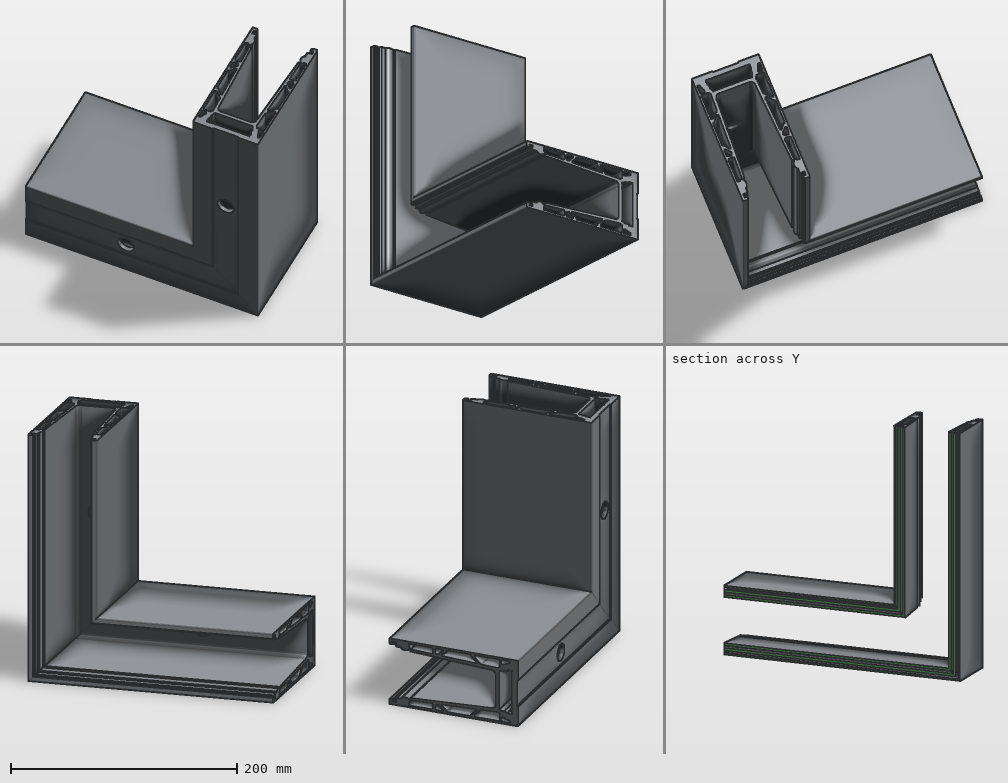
import cadquery as cq
import math

LEG_LENGTH = 227.2
PROFILE_DEPTH = 124.0
PROFILE_WIDTH = 63.6
HALF_WIDTH = PROFILE_WIDTH / 2
OPEN_END = PROFILE_DEPTH / 2
CLOSED_END = -OPEN_END
OUTER_EDGE_RADIUS = 0.7

WALL_ANGLE = math.radians(3.0)
CHANNEL_TOP = 41.8
CHANNEL_TOP_HALF_WIDTH = 22.5
CHANNEL_FLOOR = -40.5
CHANNEL_DEPTH = CHANNEL_TOP - CHANNEL_FLOOR
CHANNEL_FLOOR_HALF_WIDTH = CHANNEL_TOP_HALF_WIDTH - CHANNEL_DEPTH * math.tan(WALL_ANGLE)
FLOOR_RADIUS = 4.0

LIP_HALF_WIDTH = 26.4
LIP_CHAMFER = 1.0
LIP_HOOK = 0.7
GASKET_HALF_WIDTH = 29.0
GASKET_TOP = 59.0
GASKET_BOTTOM = 55.7
SHOULDER_HALF_WIDTH = 24.8
SHOULDER_TOP = 55.0
BEAD_TOP = 51.0
BEAD_BOTTOM = 42.7
BEAD_ROOT_HALF_WIDTH = 24.3
BEAD_TIP_HALF_WIDTH = 22.7

SKIN = 2.0
SKIN_INSIDE = HALF_WIDTH - SKIN
HOLLOW_TOP = 43.2
HOLLOW_BOTTOM = -54.0
HOLLOW_ANGLE = math.radians(2.3)
HOLLOW_TOP_HALF_WIDTH = 24.8
HOLLOW_RADIUS = 0.7
RIB_RADIUS = 1.8
RIB = 2.0
THIN_RIB = 1.0

MOUTH_HOLLOW_CORNER = 27.3
MOUTH_HOLLOW_SHOULDER = 41.0
MOUTH_HOLLOW_BOTTOM = 20.0
SMALL_HOLLOW_TOP = MOUTH_HOLLOW_BOTTOM - RIB
SMALL_HOLLOW_INSIDE = 24.5
SMALL_HOLLOW_SHOULDER = 14.8
SMALL_HOLLOW_BOTTOM = 10.5
BRACE_FOOT = 28.6
UPPER_BRACE_HEAD = 24.8
LOWER_BRACE_HEAD = 23.5
MIDDLE_HOLLOW_TOP = 11.5
MIDDLE_HOLLOW_SKIN_TOP = 6.5
MIDDLE_HOLLOW_SKIN_BOTTOM = -16.4
MIDDLE_HOLLOW_BOTTOM = -22.0
LOWER_HOLLOW_TOP = -20.2
LOWER_HOLLOW_CORNER = 27.5
LOWER_HOLLOW_SHOULDER = -26.1
LOWER_HOLLOW_BEVEL = -42.3
LOWER_HOLLOW_BOTTOM = -44.5
LOWER_HOLLOW_FOOT = 22.7
CORNER_HOLLOW_TOP = LOWER_HOLLOW_BOTTOM - THIN_RIB
CORNER_HOLLOW_HEAD = 24.8
CORNER_HOLLOW_FOOT = 28.0

CELL_TOP = -44.0
CELL_TOP_HALF_WIDTH = 18.5
CELL_SHOULDER = -48.0
CELL_HALF_WIDTH = 20.0
CELL_STEP = -52.0
CELL_FOOT_HALF_WIDTH = 21.0
CELL_BOTTOM = -56.1

FACE_GROOVE_HALF_WIDTH = 12.7
FACE_GROOVE_DEPTH = 1.0

HOLE_DIAMETER = 16.0
HOLE_FROM_CORNER = 129.5


def prism(points):
    """Extrude a closed outline of (distance from the profile centre, depth) points along the leg."""
    return cq.Workplane("XY").polyline(points).close().extrude(LEG_LENGTH)


def half_body():
    block = prism([
        (0, CLOSED_END),
        (HALF_WIDTH, CLOSED_END),
        (HALF_WIDTH, OPEN_END),
        (0, OPEN_END),
    ])
    return block.edges("|Z and >X").fillet(OUTER_EDGE_RADIUS)


def half_channel():
    bead_middle = (BEAD_TOP + BEAD_BOTTOM) / 2
    half = (
        cq.Workplane("XY")
        .moveTo(0, OPEN_END)
        .lineTo(LIP_HALF_WIDTH + LIP_CHAMFER, OPEN_END)
        .lineTo(LIP_HALF_WIDTH, OPEN_END - LIP_CHAMFER)
        .lineTo(LIP_HALF_WIDTH, GASKET_TOP - LIP_HOOK)
        .lineTo(LIP_HALF_WIDTH + LIP_CHAMFER, GASKET_TOP)
        .lineTo(GASKET_HALF_WIDTH, GASKET_TOP)
        .lineTo(GASKET_HALF_WIDTH, GASKET_BOTTOM)
        .lineTo(LIP_HALF_WIDTH + LIP_CHAMFER, GASKET_BOTTOM)
        .lineTo(LIP_HALF_WIDTH, GASKET_BOTTOM + LIP_HOOK)
        .lineTo(SHOULDER_HALF_WIDTH, SHOULDER_TOP)
        .lineTo(SHOULDER_HALF_WIDTH, BEAD_TOP)
        .lineTo(BEAD_ROOT_HALF_WIDTH, BEAD_TOP)
        .threePointArc((BEAD_TIP_HALF_WIDTH, bead_middle), (BEAD_ROOT_HALF_WIDTH, BEAD_BOTTOM))
        .lineTo(BEAD_ROOT_HALF_WIDTH, CHANNEL_TOP)
        .lineTo(CHANNEL_TOP_HALF_WIDTH, CHANNEL_TOP)
        .lineTo(CHANNEL_FLOOR_HALF_WIDTH, CHANNEL_FLOOR)
        .lineTo(0, CHANNEL_FLOOR)
        .close()
        .extrude(LEG_LENGTH)
    )
    floor_corner = cq.selectors.NearestToPointSelector(
        (CHANNEL_FLOOR_HALF_WIDTH, CHANNEL_FLOOR, LEG_LENGTH / 2)
    )
    return half.edges(floor_corner).fillet(FLOOR_RADIUS)


def on_slope(y):
    """Point on the sloping inner side of the wall hollows at depth y."""
    return (HOLLOW_TOP_HALF_WIDTH - (HOLLOW_TOP - y) * math.tan(HOLLOW_ANGLE), y)


def on_skin(y):
    """Point on the inside of the outer skin at depth y."""
    return (SKIN_INSIDE, y)


def rounded_prism(points, rib_end=None):
    """Prism with rounded corners; the end beside a cross rib gets the larger radius."""
    solid = prism(points)
    if rib_end is None:
        return solid.edges("|Z").fillet(HOLLOW_RADIUS)
    solid = solid.edges(f"|Z exc {rib_end}").fillet(HOLLOW_RADIUS)
    return solid.edges(f"|Z and {rib_end}").fillet(RIB_RADIUS)


def side_hollows():
    mouth_hollow = [
        on_skin(HOLLOW_TOP),
        (MOUTH_HOLLOW_CORNER, HOLLOW_TOP),
        on_slope(MOUTH_HOLLOW_SHOULDER),
        on_slope(MOUTH_HOLLOW_BOTTOM),
        on_skin(MOUTH_HOLLOW_BOTTOM),
    ]
    small_hollow = [
        on_skin(SMALL_HOLLOW_TOP),
        (SMALL_HOLLOW_INSIDE, SMALL_HOLLOW_TOP),
        (SMALL_HOLLOW_INSIDE, SMALL_HOLLOW_SHOULDER),
        (BRACE_FOOT, SMALL_HOLLOW_BOTTOM),
        on_skin(SMALL_HOLLOW_BOTTOM),
    ]
    middle_hollow = [
        on_skin(MIDDLE_HOLLOW_SKIN_TOP),
        (BRACE_FOOT, MIDDLE_HOLLOW_SKIN_TOP),
        (UPPER_BRACE_HEAD, MIDDLE_HOLLOW_TOP),
        on_slope(MIDDLE_HOLLOW_TOP),
        on_slope(MIDDLE_HOLLOW_BOTTOM),
        (LOWER_BRACE_HEAD, MIDDLE_HOLLOW_BOTTOM),
        (BRACE_FOOT, MIDDLE_HOLLOW_SKIN_BOTTOM),
        on_skin(MIDDLE_HOLLOW_SKIN_BOTTOM),
    ]
    lower_hollow = [
        on_skin(LOWER_HOLLOW_TOP),
        (LOWER_HOLLOW_CORNER, LOWER_HOLLOW_TOP),
        on_slope(LOWER_HOLLOW_SHOULDER),
        on_slope(LOWER_HOLLOW_BEVEL),
        (LOWER_HOLLOW_FOOT, LOWER_HOLLOW_BOTTOM),
        on_skin(LOWER_HOLLOW_BOTTOM),
    ]
    corner_hollow = [
        on_skin(CORNER_HOLLOW_TOP),
        (CORNER_HOLLOW_HEAD, CORNER_HOLLOW_TOP),
        (CORNER_HOLLOW_FOOT, HOLLOW_BOTTOM),
        on_skin(HOLLOW_BOTTOM),
    ]
    return [
        rounded_prism(mouth_hollow, "<Y"),
        rounded_prism(small_hollow, ">Y"),
        rounded_prism(middle_hollow),
        rounded_prism(lower_hollow),
        rounded_prism(corner_hollow, ">Y"),
    ]


def half_box_cell():
    return prism([
        (0, CELL_TOP),
        (CELL_TOP_HALF_WIDTH, CELL_TOP),
        (CELL_HALF_WIDTH, CELL_SHOULDER),
        (CELL_HALF_WIDTH, CELL_STEP),
        (CELL_FOOT_HALF_WIDTH, CELL_STEP),
        (CELL_FOOT_HALF_WIDTH, CELL_BOTTOM),
        (0, CELL_BOTTOM),
    ])


def half_face_groove():
    groove_floor = CLOSED_END + FACE_GROOVE_DEPTH
    return prism([
        (0, CLOSED_END),
        (FACE_GROOVE_HALF_WIDTH, CLOSED_END),
        (FACE_GROOVE_HALF_WIDTH - FACE_GROOVE_DEPTH, groove_floor),
        (0, groove_floor),
    ])


def fixing_hole():
    return (
        cq.Workplane("XZ", origin=(-HALF_WIDTH, 0, HOLE_FROM_CORNER))
        .circle(HOLE_DIAMETER / 2)
        .extrude(PROFILE_DEPTH)
    )


def mitre_wedge():
    """Everything above the 45 degree plane through the outer corner."""
    return (
        cq.Workplane("XZ")
        .polyline([(0, 0), (-LEG_LENGTH, LEG_LENGTH), (0, LEG_LENGTH)])
        .close()
        .extrude(PROFILE_DEPTH, both=True)
    )


def upright_leg():
    half = half_body()
    for cavity in [half_channel(), half_box_cell(), half_face_groove(), *side_hollows()]:
        half = half.cut(cavity)
    profile = half.union(half.mirror("YZ")).translate((-HALF_WIDTH, 0, 0))
    return profile.intersect(mitre_wedge()).cut(fixing_hole())


upright = upright_leg()
level = upright.mirror((1, 0, 1))
result = upright.union(level, clean=False)